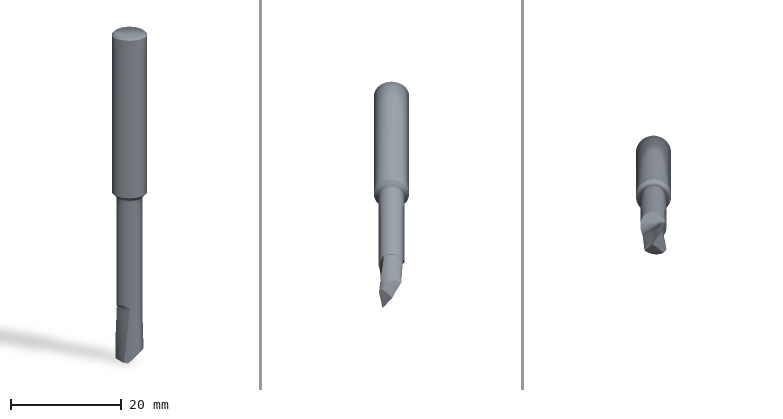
import cadquery as cq
import math

overall_length = 63.5
shank_diameter = 6.35
shank_top_chamfer = 0.4
neck_diameter = 4.76
shoulder_height = overall_length / 2

head_height = 10.6
head_top_radius = 2.32
head_tip_radius = 2.65
head_twist = 25.0
clearance_angle = 82.0
section_count = 5

tip_chamfer_start = 0.2
end_edge_tilt = 1.5
end_relief = 5.0
cutter_size = 8.0


def polar_point(radius, angle, z):
    """Point at a radius and an angle (degrees) around the Z axis."""
    return cq.Vector(radius * math.cos(math.radians(angle)), radius * math.sin(math.radians(angle)), z)


def make_shank_and_neck():
    """Shank with its chamfered top and the shoulder cone, and the neck down to the head."""
    shank_radius = shank_diameter / 2
    neck_radius = neck_diameter / 2
    shoulder_top = shoulder_height + shank_radius - neck_radius
    profile = (
        cq.Workplane("XZ")
        .moveTo(0, head_height)
        .lineTo(neck_radius, head_height)
        .lineTo(neck_radius, shoulder_height)
        .lineTo(shank_radius, shoulder_top)
        .lineTo(shank_radius, overall_length - shank_top_chamfer)
        .lineTo(shank_radius - shank_top_chamfer, overall_length)
        .lineTo(0, overall_length)
        .close()
    )
    return profile.revolve(360, (0, 0, 0), (0, 1, 0))


def make_runout(flat_distance, outward_angle):
    """Wedge that runs a flat of the head out through the neck at 45 degrees.

    The flat lies at flat_distance from the axis and faces outward_angle.
    """
    wedge = (
        cq.Workplane("XZ")
        .moveTo(flat_distance, head_height)
        .lineTo(flat_distance + cutter_size, head_height)
        .lineTo(flat_distance + cutter_size, head_height + cutter_size)
        .close()
        .extrude(cutter_size, both=True)
    )
    return wedge.rotate((0, 0, 0), (0, 0, 1), outward_angle)


def head_section(z):
    """Half disc, rake side through the axis, with a chord behind the cutting edge."""
    share = z / head_height
    radius = head_tip_radius + (head_top_radius - head_tip_radius) * share
    edge_angle = 180 + head_twist * share
    heel_angle = edge_angle + clearance_angle
    back_angle = edge_angle + 180
    cutting_edge = polar_point(radius, edge_angle, z)
    heel = polar_point(radius, heel_angle, z)
    arc_middle = polar_point(radius, (heel_angle + back_angle) / 2, z)
    back = polar_point(radius, back_angle, z)
    return cq.Wire.assembleEdges([
        cq.Edge.makeLine(cutting_edge, heel),
        cq.Edge.makeThreePointArc(heel, arc_middle, back),
        cq.Edge.makeLine(back, cutting_edge),
    ])


def make_head():
    """Twisted head, growing towards the tip."""
    heights = [head_height * i / (section_count - 1) for i in range(section_count)]
    return cq.Workplane(cq.Solid.makeLoft([head_section(z) for z in heights]))


def cut_tip_chamfer(body):
    """45 degree cut on the side opposite the cutting edge."""
    wedge = (
        cq.Workplane("XZ")
        .moveTo(tip_chamfer_start, 0)
        .lineTo(tip_chamfer_start + cutter_size, 0)
        .lineTo(tip_chamfer_start + cutter_size, cutter_size)
        .close()
        .extrude(cutter_size, both=True)
    )
    return body.cut(wedge)


def cut_end_relief(body):
    """End face rising away from the cutting corner along +X and -Y."""
    corner = (-head_tip_radius, 0, 0)
    block = cq.Workplane("XY").box(2 * cutter_size, 2 * cutter_size, cutter_size, centered=(True, True, False))
    block = block.translate((-head_tip_radius, 0, -cutter_size))
    block = block.rotate(corner, (-head_tip_radius, 1, 0), -end_edge_tilt)
    block = block.rotate(corner, (-head_tip_radius + 1, 0, 0), -end_relief)
    return body.cut(block)


clearance_distance = head_top_radius * math.cos(math.radians(clearance_angle / 2))
shank_and_neck = make_shank_and_neck()
body = shank_and_neck.cut(make_runout(0, head_twist + 90))
body = body.cut(make_runout(clearance_distance, 180 + head_twist + clearance_angle / 2))

head = cut_end_relief(cut_tip_chamfer(make_head()))

result = body.union(head)